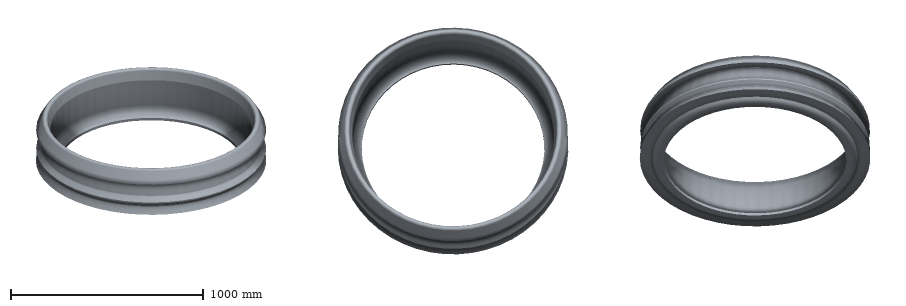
import cadquery as cq
import math

height = 270.0
outer_radius = 1200 / 2
upper_radius = 1195.0 / 2

bore_radius = 950.0 / 2
wall_radius = 1050.0 / 2
bore_lip_height = 15.0
floor_curve_radius = wall_radius - bore_radius
floor_curve_top = bore_lip_height + floor_curve_radius
mouth_start = 210.0
mouth_slope = math.atan2(1.2, 4.0)

rim_radius = 15.0
rim_center_radius = 553.0
rim_center_height = height - rim_radius

top_flange_slope = math.radians(33.5)
top_flange_bottom = 198.0
top_flange_edge_height = 4.0
top_flange_curve_radius = 36.0

neck_top_radius = 550.0
neck_top = 192.0
neck_bottom_radius = 575.0
neck_bottom = 120.0
neck_chamfer = top_flange_bottom - neck_top

ridge_top = 94.0
ridge_bottom = 86.0

groove_radius = 1155.0 / 2
groove_top = 65.0
groove_bottom = 59.0
bottom_flange_height = 22.0

foot_radius = 504.0
foot_curve_radius = 34.0


def polar(center, radius, angle):
    """Point on a circle in the radius-height plane."""
    return (center[0] + radius * math.cos(angle), center[1] + radius * math.sin(angle))


rim_center = (rim_center_radius, rim_center_height)
rim_outer = polar(rim_center, rim_radius, top_flange_slope)
rim_crest = polar(rim_center, rim_radius, math.pi / 2)
rim_inner = polar(rim_center, rim_radius, math.pi - mouth_slope)

flange_edge_top = top_flange_bottom + top_flange_edge_height
flange_center = (upper_radius - top_flange_curve_radius, flange_edge_top)
flange_curve_mid = polar(flange_center, top_flange_curve_radius, top_flange_slope / 2)
flange_curve_top = polar(flange_center, top_flange_curve_radius, top_flange_slope)

foot_center = (foot_radius, foot_curve_radius)
foot_end_angle = math.asin((bottom_flange_height - foot_curve_radius) / foot_curve_radius)
foot_curve_mid = polar(foot_center, foot_curve_radius, (foot_end_angle - math.pi / 2) / 2)
foot_curve_top = polar(foot_center, foot_curve_radius, foot_end_angle)

floor_center = (bore_radius, floor_curve_top)
floor_curve_mid = polar(floor_center, floor_curve_radius, -math.pi / 4)

section = (
    cq.Workplane("XZ")
    .moveTo(bore_radius, 0)
    .lineTo(foot_radius, 0)
    .threePointArc(foot_curve_mid, foot_curve_top)
    .lineTo(outer_radius, bottom_flange_height)
    .lineTo(groove_radius, groove_bottom)
    .lineTo(groove_radius, groove_top)
    .lineTo(upper_radius, ridge_bottom)
    .lineTo(upper_radius, ridge_top)
    .lineTo(neck_bottom_radius, neck_bottom)
    .lineTo(neck_top_radius, neck_top)
    .lineTo(neck_top_radius + neck_chamfer, top_flange_bottom)
    .lineTo(upper_radius, top_flange_bottom)
    .lineTo(upper_radius, flange_edge_top)
    .threePointArc(flange_curve_mid, flange_curve_top)
    .lineTo(*rim_outer)
    .threePointArc(rim_crest, rim_inner)
    .lineTo(wall_radius, mouth_start)
    .lineTo(wall_radius, floor_curve_top)
    .threePointArc(floor_curve_mid, (bore_radius, bore_lip_height))
    .close()
)

result = section.revolve(360, (0, 0, 0), (0, 1, 0))